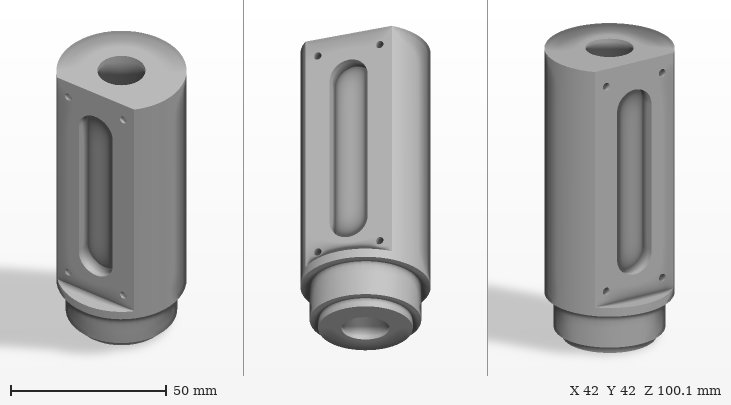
import cadquery as cq

total_height = 100.1
body_diameter = 42.0
neck_diameter = 36.0
foot_diameter = 30.5
bore_diameter = 15.5
foot_height = 3.0
neck_height = 12.0
body_bottom = foot_height + neck_height

rim_height = 3.0
flat_offset = 14.7
flat_bottom = body_bottom + rim_height

slot_width = 13.2
slot_length = 64.5
slot_depth = 5.2
slot_center_height = 58.4

hole_diameter = 2.6
hole_depth = 5.0
hole_spacing_x = 21.5
hole_spacing_z = 71.4


def cylinder(diameter, bottom, top):
    return cq.Workplane("XY").workplane(offset=bottom).circle(diameter / 2).extrude(top - bottom)


def flat_plane():
    """Plane on the flat at slot centre height; local x is +X, local y is +Z, normal is -Y."""
    return cq.Workplane("XZ", origin=(0, -flat_offset, slot_center_height))


def flat_cut():
    """Block that removes everything in front of the flat, above the rim."""
    return cq.Workplane("XY").box(
        body_diameter,
        body_diameter,
        total_height - flat_bottom,
        centered=(True, False, False),
    ).translate((0, -flat_offset - body_diameter, flat_bottom))


def slot_cut():
    return flat_plane().slot2D(slot_length, slot_width, angle=90).extrude(-slot_depth)


def screw_hole_cuts():
    return (
        flat_plane()
        .rarray(hole_spacing_x, hole_spacing_z, 2, 2)
        .circle(hole_diameter / 2)
        .extrude(-hole_depth)
    )


foot = cylinder(foot_diameter, 0, foot_height)
neck = cylinder(neck_diameter, foot_height, body_bottom)
body = cylinder(body_diameter, body_bottom, total_height)
bore = cylinder(bore_diameter, 0, total_height)

result = (
    body.union(neck)
    .union(foot)
    .cut(bore)
    .cut(flat_cut())
    .cut(slot_cut())
    .cut(screw_hole_cuts())
)